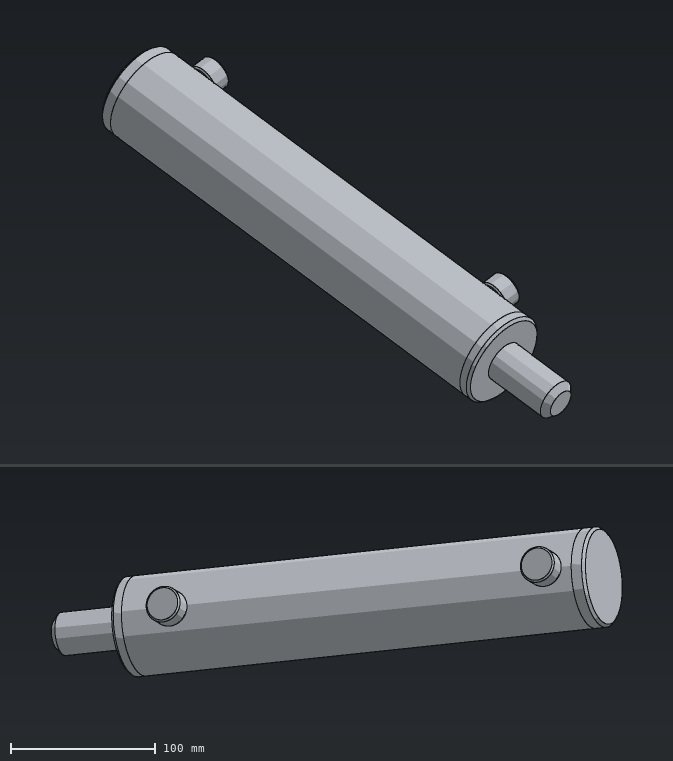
import cadquery as cq

total_length = 410.0
barrel_end = 355.0
cap_thickness = 10.0
gland_thickness = 8.0
end_chamfer = 2.0

barrel_diameter = 70.0
rod_diameter = 30.5
rod_chamfer = 5.0

port_diameter = 25.5
port_height = 14.8
port_chamfer = 1.2
port_positions = [29.5, 310.0]

barrel_radius = barrel_diameter / 2
gland_start = barrel_end - gland_thickness
tube_length = gland_start - cap_thickness
rod_length = total_length - barrel_end


def axial_cylinder(start_x, diameter, length):
    """Cylinder on the X axis, growing toward +X from start_x."""
    return cq.Workplane("YZ", origin=(start_x, 0, 0)).circle(diameter / 2).extrude(length)


def make_end_cap():
    """Solid disc closing the rear of the tube."""
    disc = axial_cylinder(0, barrel_diameter, cap_thickness)
    return disc.faces("<X").chamfer(end_chamfer)


def make_tube():
    """Main barrel between the end cap and the gland."""
    return axial_cylinder(cap_thickness, barrel_diameter, tube_length)


def make_gland():
    """Disc at the front of the tube, where the rod comes out."""
    disc = axial_cylinder(gland_start, barrel_diameter, gland_thickness)
    return disc.faces(">X").chamfer(end_chamfer)


def make_rod():
    """Exposed rod, butted against the gland and chamfered at its tip."""
    rod = axial_cylinder(barrel_end, rod_diameter, rod_length)
    return rod.faces(">X").chamfer(rod_chamfer)


def make_port(center_x):
    """Round port standing on the crest of the tube, chamfered at both ends."""
    base = cq.Workplane("XZ", origin=(center_x, barrel_radius, 0))
    port = base.circle(port_diameter / 2).extrude(-port_height)
    return port.faces("<Y or >Y").chamfer(port_chamfer)


end_cap = make_end_cap()
tube = make_tube()
gland = make_gland()
rod = make_rod()
ports = [make_port(center_x) for center_x in port_positions]

result = cq.Compound.makeCompound([
    end_cap.val(),
    tube.val(),
    gland.val(),
    rod.val(),
    *[port.val() for port in ports],
])